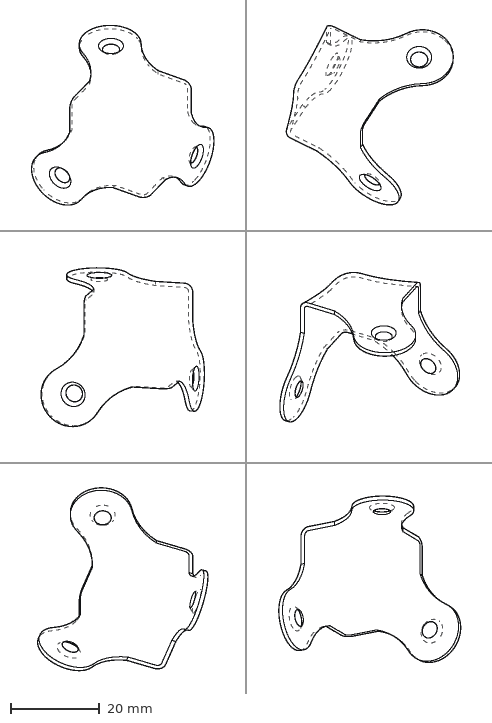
import cadquery as cq
import math

SIZE = 30.0
THICKNESS = 1.0
PLATE_SIDE = 20.0

CORNER_RADIUS = 6.45
EDGE_END_RADIUS = 2.0
TAPER_SQUARE_TERM = 1.4
TAPER_SECTIONS = 7
CUTTER_MARGIN = 1.5

LOBE_RADIUS = 7.0
LOBE_CENTER = SIZE - LOBE_RADIUS
NECK_RADIUS = 15.0
NECK_START = 8.7

HOLE_CENTER = 22.5
HOLE_DIAMETER = 3.8
COUNTERSINK_DIAMETER = 5.6


def three_around(shape):
    """The shape and its two copies turned about the corner diagonal."""
    return [shape.rotate((0, 0, 0), (1, 1, 1), angle) for angle in (0, 120, 240)]


def bend_radius(t):
    """Outer bend radius from the sphere (t = 0) to the free end (t = 1)."""
    drop = TAPER_SQUARE_TERM * t**2 + (1 - TAPER_SQUARE_TERM) * t**3
    return CORNER_RADIUS - (CORNER_RADIUS - EDGE_END_RADIUS) * drop


def edge_section(t, offset):
    """Section of the material outside the rounded edge along X."""
    radius = bend_radius(t)
    outside = offset - CUTTER_MARGIN
    arc_middle = radius - (radius - offset) * math.sqrt(0.5)
    station = CORNER_RADIUS + t * (PLATE_SIDE - CORNER_RADIUS)
    return (
        cq.Workplane("YZ", origin=(station, 0, 0))
        .moveTo(outside, outside)
        .lineTo(radius, outside)
        .lineTo(radius, offset)
        .threePointArc((arc_middle, arc_middle), (offset, radius))
        .lineTo(outside, radius)
        .close()
        .val()
    )


def cube(start, end):
    side = end - start
    return cq.Workplane("XY").box(side, side, side, centered=False).translate((start, start, start))


def rounded_block(offset):
    """Block with its corner moved inward by offset and its three edges rounded."""
    block = cube(offset, PLATE_SIDE)
    ball_center = (CORNER_RADIUS, CORNER_RADIUS, CORNER_RADIUS)
    ball_frame = cq.Plane(ball_center, xDir=(1, 1, 1), normal=(1, -1, 0))
    ball = cq.Workplane(ball_frame).sphere(CORNER_RADIUS - offset)
    block = block.cut(cube(offset - CUTTER_MARGIN, CORNER_RADIUS).cut(ball))

    sections = [edge_section(i / (TAPER_SECTIONS - 1), offset) for i in range(TAPER_SECTIONS)]
    cutter = cq.Workplane(obj=cq.Solid.makeLoft(sections))
    for edge_cutter in three_around(cutter):
        block = block.cut(edge_cutter)
    return block


def neck_points():
    """Middle and end of the flank arc from the plate edge to the lobe, tangent to the lobe."""
    run_x = LOBE_CENTER - PLATE_SIDE
    run_y = LOBE_CENTER - NECK_START
    reach = math.hypot(run_x, run_y)
    center_distance = NECK_RADIUS + LOBE_RADIUS
    cosine = (NECK_RADIUS**2 + reach**2 - center_distance**2) / (2 * NECK_RADIUS * reach)
    center_angle = math.atan2(run_y, run_x) - math.acos(cosine)
    center_x = PLATE_SIDE + NECK_RADIUS * math.cos(center_angle)
    center_y = NECK_START + NECK_RADIUS * math.sin(center_angle)

    start_angle = center_angle + math.pi
    end_angle = math.atan2(LOBE_CENTER - center_y, LOBE_CENTER - center_x)
    middle_angle = (start_angle + end_angle) / 2
    return [
        (center_x + NECK_RADIUS * math.cos(angle), center_y + NECK_RADIUS * math.sin(angle))
        for angle in (middle_angle, end_angle)
    ]


def lobe():
    """Rounded ear in the XY plane, overlapping the square part of the plate."""
    middle, end = neck_points()
    tip = LOBE_CENTER + LOBE_RADIUS * math.sqrt(0.5)
    return (
        cq.Workplane("XY")
        .moveTo(PLATE_SIDE, NECK_START)
        .threePointArc(middle, end)
        .threePointArc((tip, tip), end[::-1])
        .threePointArc(middle[::-1], (NECK_START, PLATE_SIDE))
        .close()
        .extrude(THICKNESS)
    )


def countersunk_hole():
    """Conical hole, widest on the outer face."""
    cone = cq.Solid.makeCone(COUNTERSINK_DIAMETER / 2, HOLE_DIAMETER / 2, THICKNESS)
    return cq.Workplane(obj=cone).translate((HOLE_CENTER, HOLE_CENTER, 0))


bracket = rounded_block(0).cut(rounded_block(THICKNESS))
for ear in three_around(lobe()):
    bracket = bracket.union(ear)
for hole in three_around(countersunk_hole()):
    bracket = bracket.cut(hole)

half = SIZE / 2
result = bracket.rotate((0, 0, 0), (0, 1, 0), 180).translate((half, -half, half))